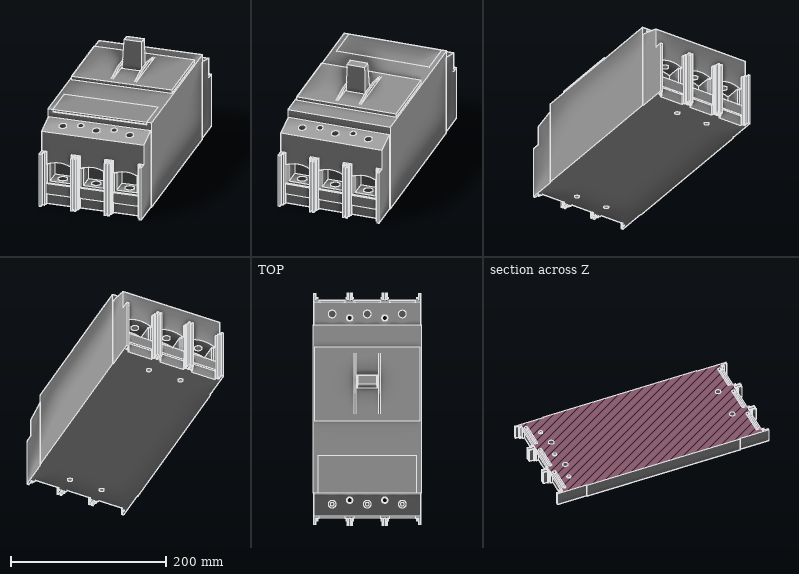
import cadquery as cq

BODY_WIDTH = 140.0
BODY_LENGTH = 216.0
BODY_HEIGHT = 120.2

END_WIDTH = 138.0
END_FACE = 137.5
SHOULDER_EDGE = 110.5
SHOULDER_HEIGHT = 109.0
END_FACE_HEIGHT = 101.7

POLE_PITCH = 45.0
POLES = (-POLE_PITCH, 0, POLE_PITCH)
OPENING_WIDTH = 33.5
OPENING_DEPTH = 3.5
CHAMBER_WIDTH = 27.5
CHAMBER_BACK = 112.0
ARCH_WIDTH = 30.0
ARCH_SPRING_HEIGHT = 56.5
ARCH_CROWN_HEIGHT = 60.0
SILL_HEIGHT = 29.5
CHAMBER_FLOOR_HEIGHT = 30.8
SILL_BAND_BOTTOM = 15.0
SILL_BAND_FACE = 140.2
FLANGE_FACE = 140.5

SCREW_HOLE_Y = 122.3
SCREW_HOLE_DIAMETER = 10.0
TERMINAL_WELL_DIAMETER = 12.5
TERMINAL_WELL_DEPTH = 9.0
WELL_FLOOR_HEIGHT = CHAMBER_FLOOR_HEIGHT - TERMINAL_WELL_DEPTH
TERMINAL_HOLE_DIAMETER = 4.8
TERMINAL_HOLE_DEPTH = 6.0
MOUNTING_HOLE_Y = 117.2
MOUNTING_HOLE_DIAMETER = 6.5
MOUNTING_HEAD_DIAMETER = 8.0
MOUNTING_SEAT_HEIGHT = 59.8

BARRIER_HEIGHT = 74.2
BARRIER_TIP = 149.5
PRONG_SPREAD = 6.5
PRONG_GAP = 2.0
ARM_SPREAD = 9.5
ARM_INNER = 142.0
ARM_OUTER = 143.8
SIDE_BARRIER_TIP = 148.5
SIDE_BARRIER_THICKNESS = 3.0
SIDE_ARM_LENGTH = 5.7

PLATE_WIDTH = 135.7
PLATE_FRONT = -15.2
PLATE_BACK = 80.0
PLATE_TOP = 125.0
RIB_INNER_X = 14.5
RIB_THICKNESS = 2.7
RIB_FRONT = -6.0
RIB_BACK = 71.8
RIB_CREST_LENGTH = 27.0
RIB_TOP = 129.8

HANDLE_TOP = 164.2
HANDLE_BASE_WIDTH = 26.0
HANDLE_TOP_WIDTH = 24.0
HANDLE_BASE_FRONT = 27.2
HANDLE_BASE_BACK = 44.0
HANDLE_TOP_FRONT = 32.0
HANDLE_TOP_BACK = 43.5
HANDLE_TOP_DROP = 0.5

PANEL_WIDTH = 126.8
PANEL_BACK = -59.8
PANEL_THICKNESS = 2.7
PANEL_CLEARANCE = 1.0


def box(x_range, y_range, z_range):
    """Box between two X, two Y and two Z positions."""
    (x0, x1), (y0, y1), (z0, z1) = x_range, y_range, z_range
    return cq.Workplane("XY").box(x1 - x0, y1 - y0, z1 - z0, centered=False).translate((x0, y0, z0))


def centred_box(x, width, y_range, z_range):
    """Box of a given width, centred on an X position."""
    return box((x - width / 2, x + width / 2), y_range, z_range)


def cylinder(x, y, diameter, z_range):
    """Vertical cylinder between two heights."""
    z0, z1 = z_range
    return cq.Workplane("XY", origin=(x, y, z0)).circle(diameter / 2).extrude(z1 - z0)


def extrude_across(points, x, width):
    """Prism with a (Y, Z) outline, centred on an X position."""
    return cq.Workplane("YZ", origin=(x - width / 2, 0, 0)).polyline(points).close().extrude(width)


def arched_opening(x, y_range, floor):
    """Opening along Y with a flat floor and a low arch over it, narrower than the opening."""
    y0, y1 = y_range
    half_width = OPENING_WIDTH / 2
    half_arch = ARCH_WIDTH / 2
    return (
        cq.Workplane("XZ", origin=(x, y1, 0))
        .moveTo(-half_width, floor)
        .lineTo(-half_width, ARCH_SPRING_HEIGHT)
        .lineTo(-half_arch, ARCH_SPRING_HEIGHT)
        .threePointArc((0, ARCH_CROWN_HEIGHT), (half_arch, ARCH_SPRING_HEIGHT))
        .lineTo(half_width, ARCH_SPRING_HEIGHT)
        .lineTo(half_width, floor)
        .close()
        .extrude(y1 - y0)
    )


def terminal_cavity(x):
    """Shallow full-width opening, the narrower chamber behind it, its well and its screw hole."""
    opening = arched_opening(x, (END_FACE - OPENING_DEPTH, END_FACE), SILL_BAND_BOTTOM)
    chamber_depth = (CHAMBER_BACK, END_FACE)
    chamber = arched_opening(x, chamber_depth, CHAMBER_FLOOR_HEIGHT).intersect(
        centred_box(x, CHAMBER_WIDTH, chamber_depth, (CHAMBER_FLOOR_HEIGHT, ARCH_CROWN_HEIGHT))
    )
    well = cylinder(x, SCREW_HOLE_Y, TERMINAL_WELL_DIAMETER, (WELL_FLOOR_HEIGHT, CHAMBER_FLOOR_HEIGHT))
    screw_hole = cylinder(x, SCREW_HOLE_Y, SCREW_HOLE_DIAMETER, (CHAMBER_FLOOR_HEIGHT, BODY_HEIGHT))
    return opening.union(chamber).union(well).union(screw_hole)


def middle_barrier(x):
    """Barrier between two poles: a flange, two parallel prongs and a pair of short arms."""
    heights = (0, BARRIER_HEIGHT)
    flange = centred_box(x, POLE_PITCH - OPENING_WIDTH, (END_FACE, FLANGE_FACE), heights)
    prongs = centred_box(x, PRONG_SPREAD, (END_FACE, BARRIER_TIP), heights)
    arms = centred_box(x, ARM_SPREAD, (ARM_INNER, ARM_OUTER), heights)
    gap = centred_box(x, PRONG_GAP, (FLANGE_FACE, BARRIER_TIP), heights)
    return flange.union(prongs).union(arms).cut(gap)


def side_barrier():
    """Barrier along the -X side wall: a flange, a plain wall and one short arm."""
    heights = (0, BARRIER_HEIGHT)
    outside = -END_WIDTH / 2
    flange = box((outside, -POLE_PITCH - OPENING_WIDTH / 2), (END_FACE, FLANGE_FACE), heights)
    wall = box((outside, outside + SIDE_BARRIER_THICKNESS), (END_FACE, SIDE_BARRIER_TIP), heights)
    arm = box((outside, outside + SIDE_ARM_LENGTH), (ARM_INNER, ARM_OUTER), heights)
    return flange.union(wall).union(arm)


def terminal_end():
    """The +Y end of the housing, with its terminal chambers, barriers and holes."""
    inside = BODY_LENGTH / 2
    end = extrude_across(
        [
            (inside, 0),
            (END_FACE, 0),
            (END_FACE, END_FACE_HEIGHT),
            (SHOULDER_EDGE, SHOULDER_HEIGHT),
            (inside, SHOULDER_HEIGHT),
        ],
        0,
        END_WIDTH,
    )
    for x in POLES:
        band = centred_box(
            x, OPENING_WIDTH, (END_FACE, SILL_BAND_FACE), (SILL_BAND_BOTTOM, SILL_HEIGHT)
        )
        end = end.union(band).cut(terminal_cavity(x))
    for x in (-POLE_PITCH / 2, POLE_PITCH / 2):
        shank = cylinder(x, MOUNTING_HOLE_Y, MOUNTING_HOLE_DIAMETER, (0, BODY_HEIGHT))
        head = cylinder(x, MOUNTING_HOLE_Y, MOUNTING_HEAD_DIAMETER, (MOUNTING_SEAT_HEIGHT, BODY_HEIGHT))
        end = end.union(middle_barrier(x)).cut(shank).cut(head)
    return end.union(side_barrier()).union(side_barrier().mirror("YZ"))


def build_housing():
    """Main block with both terminal ends and the recess for the cover panel."""
    half_length = BODY_LENGTH / 2
    housing = centred_box(0, BODY_WIDTH, (-half_length, half_length), (0, BODY_HEIGHT))
    back_end = terminal_end()
    housing = housing.union(back_end).union(back_end.mirror("XZ"))
    hole_heights = (WELL_FLOOR_HEIGHT - TERMINAL_HOLE_DEPTH, WELL_FLOOR_HEIGHT)
    for x in POLES:
        housing = housing.cut(cylinder(x, -SCREW_HOLE_Y, TERMINAL_HOLE_DIAMETER, hole_heights))
    recess_floor = BODY_HEIGHT - PANEL_THICKNESS - PANEL_CLEARANCE
    return housing.cut(
        centred_box(0, PANEL_WIDTH, (-half_length, PANEL_BACK), (recess_floor, BODY_HEIGHT))
    )


def build_front_plate():
    """Raised plate with two guide ribs that slope down to nothing at both ends."""
    plate = centred_box(0, PLATE_WIDTH, (PLATE_FRONT, PLATE_BACK), (BODY_HEIGHT, PLATE_TOP))
    middle = (RIB_FRONT + RIB_BACK) / 2
    rib_outline = [
        (RIB_FRONT, PLATE_TOP),
        (RIB_BACK, PLATE_TOP),
        (middle + RIB_CREST_LENGTH / 2, RIB_TOP),
        (middle - RIB_CREST_LENGTH / 2, RIB_TOP),
    ]
    rib_x = RIB_INNER_X + RIB_THICKNESS / 2
    for x in (-rib_x, rib_x):
        plate = plate.union(extrude_across(rib_outline, x, RIB_THICKNESS))
    return plate


def build_handle():
    """Handle standing on the front plate, tapering upwards on all four sides."""
    side_view = extrude_across(
        [
            (HANDLE_BASE_FRONT, PLATE_TOP),
            (HANDLE_BASE_BACK, PLATE_TOP),
            (HANDLE_TOP_BACK, HANDLE_TOP - HANDLE_TOP_DROP),
            (HANDLE_TOP_FRONT, HANDLE_TOP),
        ],
        0,
        HANDLE_BASE_WIDTH,
    )
    front_view = (
        cq.Workplane("XZ", origin=(0, HANDLE_BASE_BACK, 0))
        .polyline(
            [
                (-HANDLE_BASE_WIDTH / 2, PLATE_TOP),
                (HANDLE_BASE_WIDTH / 2, PLATE_TOP),
                (HANDLE_TOP_WIDTH / 2, HANDLE_TOP),
                (-HANDLE_TOP_WIDTH / 2, HANDLE_TOP),
            ]
        )
        .close()
        .extrude(HANDLE_BASE_BACK - HANDLE_BASE_FRONT)
    )
    return side_view.intersect(front_view)


def build_cover_panel():
    """Thin panel, flush with the top of the main block and clear of the recess floor."""
    return centred_box(
        0,
        PANEL_WIDTH,
        (-BODY_LENGTH / 2, PANEL_BACK),
        (BODY_HEIGHT - PANEL_THICKNESS, BODY_HEIGHT),
    )


housing = build_housing()
front_plate = build_front_plate()
handle = build_handle()
cover_panel = build_cover_panel()

result = cq.Compound.makeCompound(
    [housing.val(), front_plate.val(), handle.val(), cover_panel.val()]
)